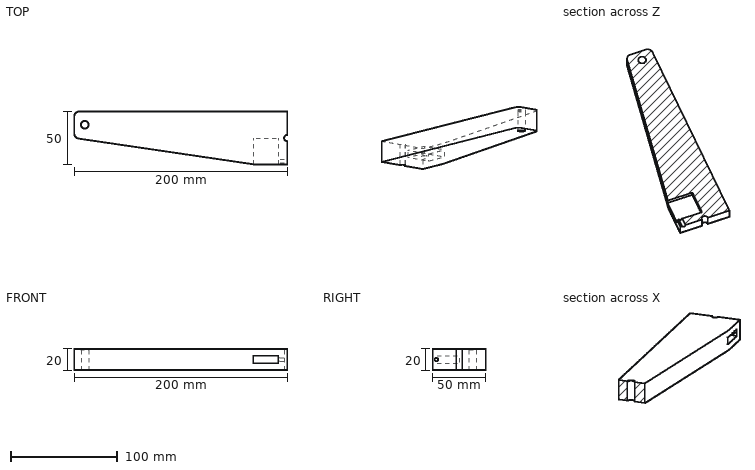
import cadquery as cq

length = 200.0
width = 50.0
thickness = 20.0
mid_height = thickness / 2

tip_width = width / 2
straight_end_length = 30.0
tip_corner_radius = 5.0

pivot_diameter = 7.0
pivot_rim_diameter = 7.2
pivot_rim_depth = 0.8
pivot_from_tip = 10.0
pivot_from_back = tip_width / 2

notch_width = 5.5
notch_depth = 3.0

slot_length = 23.5
slot_height = 6.8
slot_from_end = 8.5
slot_depth = width / 2

bore_diameter = 3.2
bore_from_front = 3.5


def tapered_plate():
    """Plate with a straight back edge and a front edge tapering to the tip."""
    outline = [
        (0, width),
        (0, width - tip_width),
        (length - straight_end_length, 0),
        (length, 0),
        (length, width),
    ]
    plate = cq.Workplane("XY").polyline(outline).close().extrude(thickness)
    return plate.edges("|Z and <X").fillet(tip_corner_radius)


def upright_cylinder(x, y, diameter, bottom=0.0):
    """Cylinder along Z reaching from the given height to the top face."""
    base = cq.Workplane("XY", origin=(x, y, bottom))
    return base.circle(diameter / 2).extrude(thickness - bottom)


def pivot_hole():
    """Through hole with a slightly wider rim at the top."""
    x = pivot_from_tip
    y = width - pivot_from_back
    rim = upright_cylinder(x, y, pivot_rim_diameter, thickness - pivot_rim_depth)
    return upright_cylinder(x, y, pivot_diameter).union(rim)


def end_notch():
    """Vertical groove cutting just past its centre line into the wide end."""
    return upright_cylinder(length - notch_depth + notch_width / 2, width / 2, notch_width)


def edge_slot():
    """Rectangular pocket opening on the front edge."""
    slot = cq.Workplane("XY").box(slot_length, slot_depth, slot_height, centered=(False, False, True))
    return slot.translate((length - slot_from_end - slot_length, 0, mid_height))


def end_bore():
    """Lengthwise bore joining the slot to the wide end."""
    start = cq.Workplane("YZ", origin=(length - slot_from_end, bore_from_front, mid_height))
    return start.circle(bore_diameter / 2).extrude(slot_from_end)


result = tapered_plate()
for cutter in (pivot_hole(), end_notch(), edge_slot(), end_bore()):
    result = result.cut(cutter)